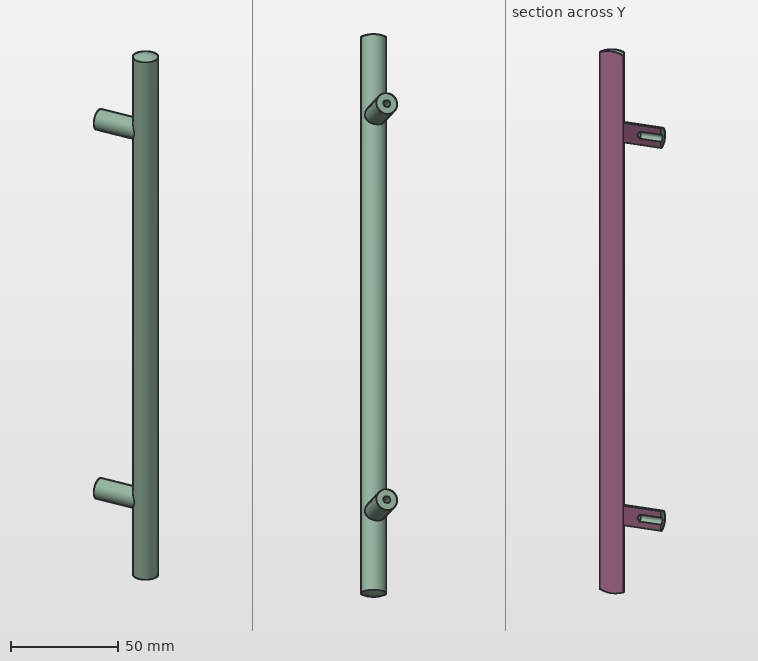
import cadquery as cq
import math

bar_length = 272.0
bar_diameter = 12.0
dome_height = 1.4
overall_depth = 31.0
post_diameter = 10.0
post_spacing = 192.0
hole_diameter = 3.3
hole_depth = 11.0
drill_point_angle = 118.0

bar_radius = bar_diameter / 2
hole_radius = hole_diameter / 2
foot_x = bar_radius - overall_depth
drill_point_depth = hole_radius / math.tan(math.radians(drill_point_angle / 2))


def make_bar():
    """Revolve the half profile of the bar, with a spherical dome at each end."""
    tip_z = bar_length / 2
    shoulder_z = tip_z - dome_height
    dome_radius = (bar_radius**2 + dome_height**2) / (2 * dome_height)
    half_angle = math.asin(bar_radius / dome_radius) / 2
    mid_x = dome_radius * math.sin(half_angle)
    mid_z = tip_z - dome_radius * (1 - math.cos(half_angle))
    return (
        cq.Workplane("XZ")
        .moveTo(0, -tip_z)
        .threePointArc((mid_x, -mid_z), (bar_radius, -shoulder_z))
        .lineTo(bar_radius, shoulder_z)
        .threePointArc((mid_x, mid_z), (0, tip_z))
        .close()
        .revolve(360, (0, 0), (0, 1))
    )


def make_screw_hole(z):
    """Blind drilled hole with a conical bottom, entering at the post foot."""
    hole_end_x = foot_x + hole_depth
    return (
        cq.Workplane("XY")
        .moveTo(foot_x, 0)
        .lineTo(foot_x, hole_radius)
        .lineTo(hole_end_x, hole_radius)
        .lineTo(hole_end_x + drill_point_depth, 0)
        .close()
        .revolve(360, (0, 0), (1, 0))
        .translate((0, 0, z))
    )


def make_post(z, bar):
    """Round post along X, its inner end saddled to fit against the bar."""
    post = (
        cq.Workplane("YZ", origin=(foot_x, 0, z))
        .circle(post_diameter / 2)
        .extrude(-foot_x)
    )
    return post.cut(bar).cut(make_screw_hole(z))


bar = make_bar()
posts = [make_post(side * post_spacing / 2, bar) for side in (-1, 1)]

result = cq.Compound.makeCompound([bar.val(), *[solid for post in posts for solid in post.solids().vals()]])